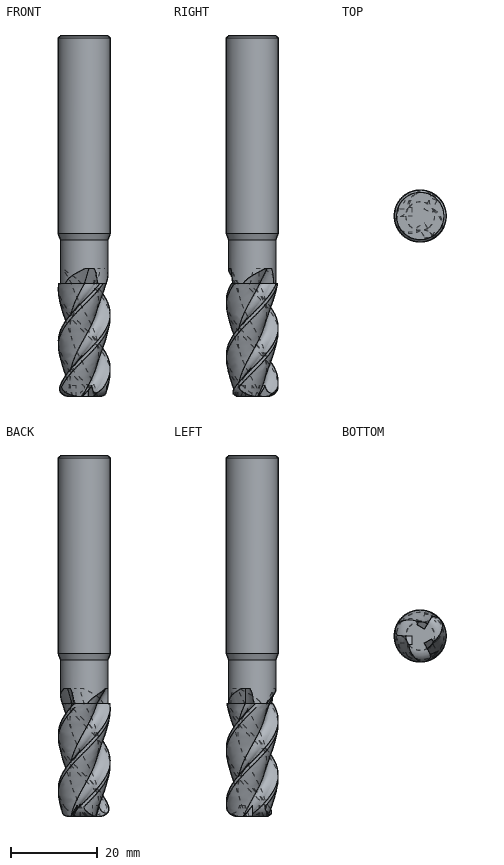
import cadquery as cq
import math

length = 83.0
shank_diameter = 12.0
neck_diameter = 10.95
cutter_diameter = 11.95
cutter_length = 26.0
neck_top = 36.0
shank_bottom = 37.4
shank_chamfer = 0.6

tooth_count = 3
tooth_pitch = 360 / tooth_count
helix_lead = math.pi * cutter_diameter
twist = 360 * cutter_length / helix_lead
top_edge_angle = 187.0
margin_angle = 10.0
back_angle, back_radius = 42.0, 5.1
heel_angle, heel_radius = 84.0, 3.3
throat_angle, throat_radius = 108.0, 3.7
rake_angle, rake_radius = 115.5, 5.0

runout_height = 3.5
runout_outward = 1.75
runout_sideways = 1.0

corner_radius = 2.5
gash_depth = 2.5
gash_width = 2.65
gash_trail = 3.0

edge_radius = cutter_diameter / 2
cut_margin = 0.8
envelope_clearance = 0.01


def polar(radius, angle):
    """Point at a radius and an angle in degrees."""
    return radius * math.cos(math.radians(angle)), radius * math.sin(math.radians(angle))


def add_tooth_back_and_flute(outline, edge_angle):
    """Continue an outline from the end of a margin to the next cutting edge."""
    return (
        outline
        .threePointArc(polar(back_radius, edge_angle + back_angle),
                       polar(heel_radius, edge_angle + heel_angle))
        .threePointArc(polar(throat_radius, edge_angle + throat_angle),
                       polar(rake_radius, edge_angle + rake_angle))
        .lineTo(*polar(edge_radius, edge_angle + tooth_pitch))
    )


def cutter_section(first_edge_angle):
    """Cross-section with all the teeth."""
    outline = cq.Workplane("XY").moveTo(*polar(edge_radius, first_edge_angle))
    for tooth in range(tooth_count):
        edge_angle = first_edge_angle + tooth * tooth_pitch
        outline = outline.threePointArc(polar(edge_radius, edge_angle + margin_angle / 2),
                                        polar(edge_radius, edge_angle + margin_angle))
        outline = add_tooth_back_and_flute(outline, edge_angle)
    return outline.close()


def runout_cut(edge_angle):
    """Slanted continuation of one flute, rising out of the neck surface."""
    outer_radius = edge_radius + cut_margin
    outline = (
        cq.Workplane("XY", origin=(0, 0, cutter_length))
        .moveTo(*polar(edge_radius, edge_angle + margin_angle))
    )
    outline = (
        add_tooth_back_and_flute(outline, edge_angle)
        .lineTo(*polar(outer_radius, edge_angle + tooth_pitch))
        .threePointArc(polar(outer_radius, edge_angle + tooth_pitch / 2),
                       polar(outer_radius, edge_angle + margin_angle))
        .close()
    )
    outward_x, outward_y = polar(runout_outward, edge_angle + heel_angle)
    side_x, side_y = polar(runout_sideways, edge_angle + heel_angle + 90)
    lean = cq.Vector(outward_x + side_x, outward_y + side_y, runout_height)
    return cq.Workplane(cq.Solid.extrudeLinear(outline.val(), [], lean))


def make_shank():
    """Shank and neck, with the ends of the flutes cut into the neck."""
    shank_radius = shank_diameter / 2
    neck_radius = neck_diameter / 2
    shank = (
        cq.Workplane("XZ")
        .moveTo(0, cutter_length)
        .lineTo(neck_radius, cutter_length)
        .lineTo(neck_radius, neck_top)
        .lineTo(shank_radius, shank_bottom)
        .lineTo(shank_radius, length - shank_chamfer)
        .lineTo(shank_radius - shank_chamfer, length)
        .lineTo(0, length)
        .close()
        .revolve(360, (0, 0, 0), (0, 1, 0))
    )
    for tooth in range(tooth_count):
        shank = shank.cut(runout_cut(top_edge_angle + tooth * tooth_pitch))
    return shank


def gash_cut(edge_angle):
    """V-notch across the end, opening ahead of one cutting edge."""
    reach = edge_radius + cut_margin
    return (
        cq.Workplane("YZ")
        .polyline([(0, gash_depth), (0, -cut_margin), (-gash_width, -cut_margin)])
        .close()
        .extrude(reach)
        .translate((throat_radius / 2, 0, 0))
        .rotate((0, 0, 0), (0, 0, 1), edge_angle + gash_trail)
    )


def make_cutter():
    """Twisted teeth with rounded corners and gashes at the cutting end."""
    bottom_edge_angle = top_edge_angle - twist
    cutter = cutter_section(bottom_edge_angle).twistExtrude(cutter_length, twist)
    envelope = (
        cq.Workplane("XY").circle(edge_radius + envelope_clearance).extrude(cutter_length)
        .faces("<Z").edges().fillet(corner_radius)
    )
    cutter = cutter.intersect(envelope)
    for tooth in range(tooth_count):
        cutter = cutter.cut(gash_cut(bottom_edge_angle + tooth * tooth_pitch))
    return cutter


shank = make_shank()
cutter = make_cutter()

result = cq.Compound.makeCompound([shank.val(), cutter.val()])